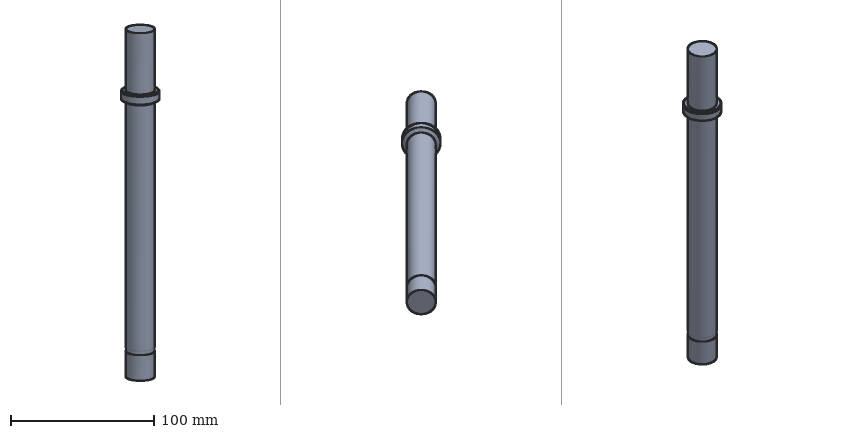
import cadquery as cq

length = 254.2
shaft_diameter = 20.3

collar_diameter = 27.0
collar_top = 209.5
collar_height = 8.1
collar_top_chamfer = 0.8
collar_cone_height = 1.8

groove_diameter = 20.0
groove_bottom = 18.8
groove_width = 3.3
groove_taper_height = 1.0


def cylinder(diameter, bottom, height):
    """Upright cylinder on the Z axis, starting at the given level."""
    return cq.Workplane("XY").workplane(offset=bottom).circle(diameter / 2).extrude(height)


def make_collar():
    """Collar with a chamfered top rim and a cone running down to the shaft."""
    radius = collar_diameter / 2
    bottom = collar_top - collar_height
    outline = [
        (0, bottom),
        (shaft_diameter / 2, bottom),
        (radius, bottom + collar_cone_height),
        (radius, collar_top - collar_top_chamfer),
        (radius - collar_top_chamfer, collar_top),
        (0, collar_top),
    ]
    return cq.Workplane("XZ").polyline(outline).close().revolve(360, (0, 0, 0), (0, 1, 0))


def make_groove_ring():
    """Ring removed to form the groove, whose upper wall tapers out to the shaft surface."""
    top = groove_bottom + groove_width
    outline = [
        (groove_diameter / 2, groove_bottom),
        (shaft_diameter / 2, groove_bottom),
        (shaft_diameter / 2, top),
        (groove_diameter / 2, top - groove_taper_height),
    ]
    return cq.Workplane("XZ").polyline(outline).close().revolve(360, (0, 0, 0), (0, 1, 0))


shaft = cylinder(shaft_diameter, 0, length)
result = shaft.union(make_collar()).cut(make_groove_ring())